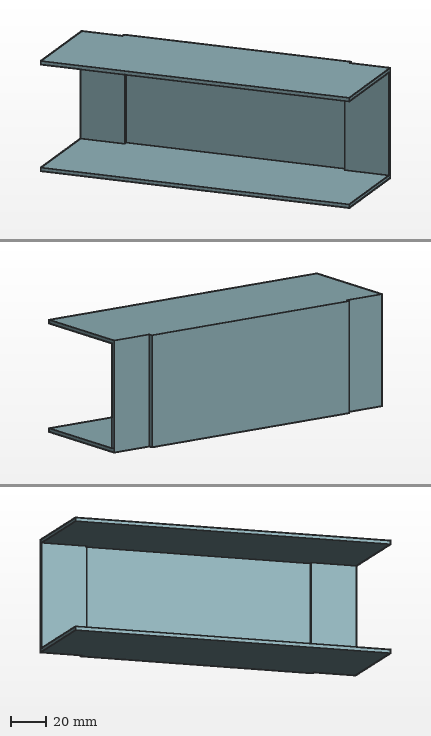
import cadquery as cq

length = 190.0
depth = 65.2
height = 65.9

sheet = 2.2
panel_offset = 2.5
panel_length = 140.0

front_y = -depth / 2
panel_back_y = depth / 2
end_back_y = panel_back_y - panel_offset


def block(size_x, y_start, y_end, size_z):
    """Block centred on X and Z that spans y_start to y_end."""
    size_y = y_end - y_start
    return cq.Workplane("XY").box(size_x, size_y, size_z).translate((0, (y_start + y_end) / 2, 0))


def outer_body():
    """Solid envelope: full-length body plus the panel standing out of its back."""
    body = block(length, front_y, end_back_y, height)
    panel = block(panel_length, front_y, panel_back_y, height)
    return body.union(panel)


def inner_cavity():
    """Open-front channel space, deeper behind the offset panel."""
    cavity_height = height - 2 * sheet
    pocket_length = panel_length - 2 * sheet
    channel = block(length, front_y, end_back_y - sheet, cavity_height)
    pocket = block(pocket_length, front_y, panel_back_y - sheet, cavity_height)
    return channel.union(pocket)


result = outer_body().cut(inner_cavity())